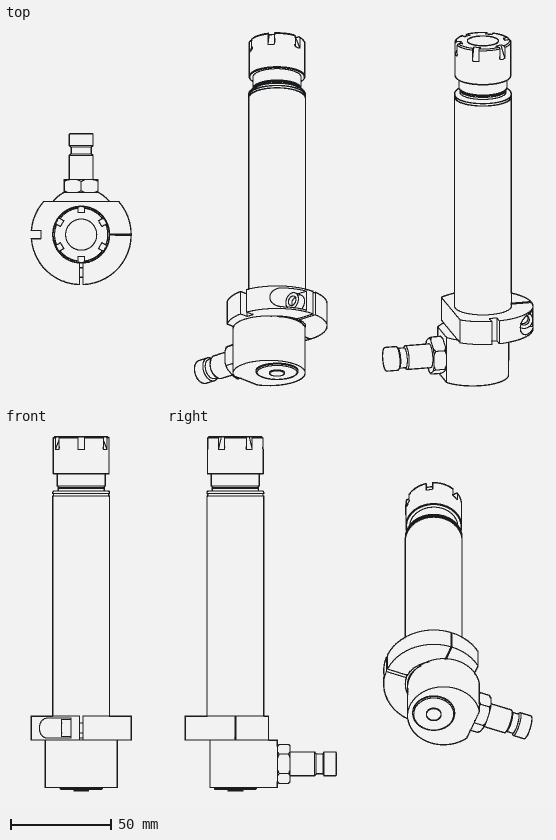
import cadquery as cq
import math

total_height = 176.7

base_dia = 36.0
base_height = 23.7
base_offset_y = 5.3
base_flat_y = 21.0
cover_dia = 21.0
cover_height = 1.0
cover_chamfer = 0.5
plug_dia = 7.5
plug_height = 0.5

tube_dia = 28.5
tube_bottom_chamfer = 1.0
tube_top_fillet = 1.0
tube_groove_height = 1.2
tube_groove_depth = 0.4
tube_rim_height = 1.5
tube_top_z = 149.7

collar_dia = 23.2
collar_height = 2.3
collar_groove_dia = 22.6
collar_groove_height = 0.7
collar_groove_offset = 0.5
neck_dia = 24.0
nut_dia = 28.0
nut_height = 18.7
nut_chamfer = 0.7
nut_bottom_chamfer = 0.4
collet_dia = 15.5
collet_recess = 0.2
wrench_slot_count = 6
wrench_slot_width = 3.4
wrench_slot_height = 6.5
wrench_slot_top_radius = 11.0

hex_across_flats = 17.0
hex_height = 6.4
hex_chamfer = 0.9
stem_dia = 12.0
stem_groove_dia = 10.0
stem_groove_start_y = 39.5
stem_groove_taper = 0.7
stem_head_y = 44.4
stem_end_y = 50.4
stem_end_fillet = 0.5

ring_dia = 50.0
ring_height = 12.0
ring_flat_y = 16.6
clamp_slit_width = 1.6
thin_slit_width = 0.5
notch_width = 3.9
notch_depth = 5.0
screw_y = -18.9
screw_seat_x = -5.1
screw_pocket_width = 10.0
screw_head_dia = 8.5
screw_head_height = 4.6
screw_shank_dia = 5.0
screw_shank_reach = 10.6
screw_socket_dia = 5.0
screw_socket_depth = 2.5

cover_bottom_z = plug_height
base_bottom_z = cover_bottom_z + cover_height
ring_bottom_z = base_bottom_z + base_height
ring_top_z = ring_bottom_z + ring_height
ring_middle_z = ring_bottom_z + ring_height / 2
connector_z = base_bottom_z + base_height / 2
collar_top_z = tube_top_z + collar_height
nut_bottom_z = total_height - nut_height


def disc(diameter, bottom_z, top_z):
    """Upright cylinder on the spindle axis."""
    return cq.Workplane("XY").workplane(offset=bottom_z).circle(diameter / 2).extrude(top_z - bottom_z)


def rod_along_x(diameter, start_x, end_x):
    """Cylinder on the clamping screw's axis."""
    plane = cq.Plane(origin=(start_x, screw_y, ring_middle_z), xDir=(0, 1, 0), normal=(1, 0, 0))
    return cq.Workplane(plane).circle(diameter / 2).extrude(end_x - start_x)


def box_between(corner, opposite):
    """Axis-aligned box between two opposite corners, lower corner first."""
    size = [high - low for low, high in zip(corner, opposite)]
    return cq.Workplane("XY").box(*size, centered=False).translate(corner)


def make_base():
    """Round block with a flat for the connector, and a chamfered cover with a plug below."""
    block = disc(base_dia, base_bottom_z, ring_bottom_z).translate((0, base_offset_y, 0))
    behind_flat = box_between(
        (-base_dia, base_flat_y, base_bottom_z), (base_dia, base_flat_y + base_dia, ring_bottom_z)
    )
    cover = disc(cover_dia, cover_bottom_z, base_bottom_z).faces("<Z").chamfer(cover_chamfer)
    plug = disc(plug_dia, 0, cover_bottom_z)
    return block.cut(behind_flat).union(cover).union(plug)


def make_tube():
    """Long tube, chamfered below and rounded above, with a shallow groove below the top rim."""
    tube = disc(tube_dia, ring_bottom_z, tube_top_z)
    tube = tube.faces("<Z").chamfer(tube_bottom_chamfer).faces(">Z").edges().fillet(tube_top_fillet)
    groove_top_z = tube_top_z - tube_rim_height
    groove_bottom_z = groove_top_z - tube_groove_height
    groove = disc(tube_dia + 2 * tube_groove_depth, groove_bottom_z, groove_top_z).cut(
        disc(tube_dia - 2 * tube_groove_depth, groove_bottom_z, groove_top_z)
    )
    return tube.cut(groove)


def make_wrench_slot():
    """Wedge-shaped slot at +X, deepest at the top face of the nut."""
    outer_radius = nut_dia / 2
    return (
        cq.Workplane("XZ")
        .moveTo(wrench_slot_top_radius, total_height)
        .lineTo(outer_radius, total_height - wrench_slot_height)
        .lineTo(outer_radius, total_height)
        .close()
        .extrude(wrench_slot_width / 2, both=True)
    )


def make_nose():
    """Grooved collar, neck and collet nut with wrench slots around its top edge."""
    groove_top_z = collar_top_z - collar_groove_offset
    groove_bottom_z = groove_top_z - collar_groove_height
    nose = disc(collar_dia, tube_top_z, groove_bottom_z)
    nose = nose.union(disc(collar_groove_dia, groove_bottom_z, groove_top_z))
    nose = nose.union(disc(collar_dia, groove_top_z, collar_top_z))
    nose = nose.union(disc(neck_dia, collar_top_z, nut_bottom_z))
    nut = disc(nut_dia, nut_bottom_z, total_height).faces(">Z").chamfer(nut_chamfer)
    nut = nut.faces("<Z").chamfer(nut_bottom_chamfer)
    nut = nut.cut(disc(collet_dia, total_height - collet_recess, total_height))
    first_slot_angle = 90
    for index in range(wrench_slot_count):
        angle = first_slot_angle + index * 360 / wrench_slot_count
        nut = nut.cut(make_wrench_slot().rotate((0, 0, 0), (0, 0, 1), angle))
    return nose.union(nut)


def make_connector():
    """Hexagon and grooved stem pointing along +Y from the base flat."""
    start = cq.Plane(origin=(0, base_flat_y, connector_z), xDir=(0, 0, 1), normal=(0, 1, 0))
    hex_across_corners = hex_across_flats / math.cos(math.radians(30))
    hexagon = cq.Workplane(start).polygon(6, hex_across_corners).extrude(hex_height)
    corner_trim = cq.Workplane(start).circle(hex_across_corners / 2).extrude(hex_height)
    hexagon = hexagon.intersect(corner_trim.faces("<Y or >Y").chamfer(hex_chamfer))

    stem_radius = stem_dia / 2
    groove_radius = stem_groove_dia / 2
    axis_plane = cq.Workplane("XY", origin=(0, 0, connector_z))
    stem = (
        axis_plane.moveTo(0, base_flat_y)
        .lineTo(stem_radius, base_flat_y)
        .lineTo(stem_radius, stem_groove_start_y)
        .lineTo(groove_radius, stem_groove_start_y + stem_groove_taper)
        .lineTo(groove_radius, stem_head_y - stem_groove_taper)
        .lineTo(stem_radius, stem_head_y)
        .lineTo(stem_radius, stem_end_y)
        .lineTo(0, stem_end_y)
        .close()
        .revolve(360, (0, base_flat_y, 0), (0, stem_end_y, 0))
    )
    return hexagon.union(stem.faces(">Y").edges().fillet(stem_end_fillet))


def make_spindle():
    return make_base().union(make_tube()).union(make_nose()).union(make_connector())


def make_ring_blank():
    """Ring around the tube with one flat, a locating notch and two radial slits."""
    radius = ring_dia / 2
    ring = disc(ring_dia, ring_bottom_z, ring_top_z).cut(disc(tube_dia, ring_bottom_z, ring_top_z))
    cuts = [
        ((-radius, ring_flat_y), (radius, radius)),
        ((-radius, -notch_width / 2), (notch_depth - radius, notch_width / 2)),
        ((-clamp_slit_width / 2, -radius), (clamp_slit_width / 2, 0)),
        ((0, -thin_slit_width / 2), (radius, thin_slit_width / 2)),
    ]
    for corner, opposite in cuts:
        ring = ring.cut(box_between((*corner, ring_bottom_z), (*opposite, ring_top_z)))
    return ring


def make_screw_pocket():
    """Round-bottomed pocket from -X to the screw seat, open outward along -Y."""
    radius = ring_dia / 2
    half_width = screw_pocket_width / 2
    round_bottom = rod_along_x(screw_pocket_width, -radius, screw_seat_x)
    open_side = box_between(
        (-radius, -radius, ring_middle_z - half_width), (screw_seat_x, screw_y, ring_middle_z + half_width)
    )
    return round_bottom.union(open_side)


def make_screw():
    """Socket-head screw bridging the clamping slit."""
    head_end_x = screw_seat_x - screw_head_height
    screw = rod_along_x(screw_head_dia, head_end_x, screw_seat_x)
    screw = screw.union(rod_along_x(screw_shank_dia, screw_seat_x, screw_shank_reach))
    return screw.cut(rod_along_x(screw_socket_dia, head_end_x, head_end_x + screw_socket_depth))


def make_clamp_ring():
    """Both ring segments, tied into one solid by the screw."""
    return make_ring_blank().cut(make_screw_pocket()).union(make_screw())


spindle = make_spindle()
clamp_ring = make_clamp_ring()

result = cq.Compound.makeCompound([spindle.val(), clamp_ring.val()])